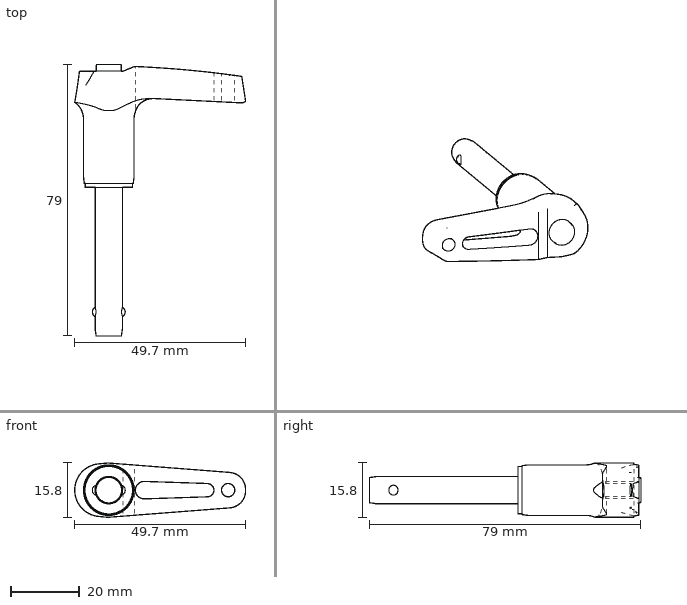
import cadquery as cq
import math


PIN_RADIUS = 4.0
PIN_LENGTH = 43.2
TIP_TAPER_LENGTH = 2.0
TIP_RADIUS = 3.7

BALL_RADIUS = 1.5
BALL_REACH = 4.8
BALL_Y = -36.2

COLLAR_RADIUS = 6.9
COLLAR_LENGTH = 1.2
SLEEVE_RADIUS = 7.38
SLEEVE_END_RADIUS = 7.15
SLEEVE_TAPER_END_Y = 2.9
FLARE_START_Y = 19.9
FLARE_RADIUS = 5.9

BUTTON_RADIUS = 3.7
BUTTON_TOP_Y = 35.8
BUTTON_EDGE_FILLET = 0.5

HUB_BACK_X = -9.93
HUB_ARC_END_X = -3.1
HUB_ARC_END_HALF_WIDTH = 7.66
CREST_START_X = -0.9
CREST_END_X = 0.6
CREST_EDGE_HALF_WIDTH = 7.87
MAX_HALF_WIDTH = 7.91
ARM_TIP_START_X = 35.04
ARM_TIP_HALF_WIDTH = 5.2

HUB_TOP_Y = 33.8
RISE_START_X = 4.1
ARM_PEAK_X = 7.5
ARM_PEAK_Y = 35.2
ARM_TIP_TOP_Y = 32.3
ARM_TOP_BULGE = 0.4
TOP_EDGE_FILLET = 0.3
ARM_TIP_BOTTOM_Y = 24.55
TIP_ROUND_START_X = 38.5
TIP_ROUND_RADIUS = 2.0

TOP_FACE_MIN_NORMAL_Y = 0.5

TIP_TOP_X = 38.7
TIP_BOTTOM_X = 39.9
HUB_BACK_TOP_RADIUS = 8.56
HUB_BACK_BOTTOM_Y = 24.7

SLOT_WIDE_X = 10.25
SLOT_WIDE_RADIUS = 2.5
SLOT_NARROW_X = 28.65
SLOT_NARROW_RADIUS = 1.9
EYE_X = 34.7
EYE_RADIUS = 1.9

FLARE_OUTER_RADIUS = SLEEVE_RADIUS + FLARE_RADIUS
FLARE_TOP_Y = FLARE_START_Y + FLARE_RADIUS
TIP_SLOPE = (TIP_TOP_X - TIP_BOTTOM_X) / (ARM_TIP_TOP_Y - ARM_TIP_BOTTOM_Y)
BACK_SLOPE = (HUB_BACK_TOP_RADIUS + HUB_BACK_X) / (HUB_TOP_Y - HUB_BACK_BOTTOM_Y)
PRISM_BOTTOM_Y = FLARE_START_Y
PRISM_TOP_Y = BUTTON_TOP_Y
PRISM_HEIGHT = PRISM_TOP_Y - PRISM_BOTTOM_Y

CLEARANCE = 1.0


def tip_x(y):
    """X of the slanted arm end at height y."""
    return TIP_BOTTOM_X + TIP_SLOPE * (y - ARM_TIP_BOTTOM_Y)


def back_radius(y):
    """Radius of the cone that slants the back of the hub at height y."""
    return -HUB_BACK_X + BACK_SLOPE * (y - HUB_BACK_BOTTOM_Y)


def plan_outline(y):
    """Closed plan outline of the handle at height y."""
    crest_x = (CREST_START_X + CREST_END_X) / 2
    return (
        cq.Workplane("XZ", origin=(0, y, 0))
        .moveTo(HUB_ARC_END_X, -HUB_ARC_END_HALF_WIDTH)
        .threePointArc((HUB_BACK_X, 0), (HUB_ARC_END_X, HUB_ARC_END_HALF_WIDTH))
        .lineTo(CREST_START_X, CREST_EDGE_HALF_WIDTH)
        .threePointArc((crest_x, MAX_HALF_WIDTH), (CREST_END_X, CREST_EDGE_HALF_WIDTH))
        .lineTo(ARM_TIP_START_X, ARM_TIP_HALF_WIDTH)
        .threePointArc((tip_x(y), 0), (ARM_TIP_START_X, -ARM_TIP_HALF_WIDTH))
        .lineTo(CREST_END_X, -CREST_EDGE_HALF_WIDTH)
        .threePointArc((crest_x, -MAX_HALF_WIDTH), (CREST_START_X, -CREST_EDGE_HALF_WIDTH))
        .close()
        .val()
    )


def handle_prism():
    """Plan outline swept along Y, with the arm end leaning back towards the top."""
    outlines = [plan_outline(PRISM_BOTTOM_Y), plan_outline(PRISM_TOP_Y)]
    return cq.Workplane(cq.Solid.makeLoft(outlines, True))


def handle_side_profile():
    """Side shape of hub and arm, reaching past the handle in Z and beyond both of its ends."""
    arm_top_mid = (
        (ARM_PEAK_X + TIP_TOP_X) / 2,
        (ARM_PEAK_Y + ARM_TIP_TOP_Y) / 2 + ARM_TOP_BULGE,
    )
    round_end_x = TIP_ROUND_START_X + TIP_ROUND_RADIUS
    round_mid = (
        TIP_ROUND_START_X + TIP_ROUND_RADIUS * math.sin(math.pi / 4),
        ARM_TIP_BOTTOM_Y + TIP_ROUND_RADIUS * (1 - math.cos(math.pi / 4)),
    )
    return (
        cq.Workplane("XY")
        .moveTo(HUB_BACK_X - CLEARANCE, FLARE_TOP_Y)
        .lineTo(HUB_BACK_X - CLEARANCE, HUB_TOP_Y)
        .lineTo(RISE_START_X, HUB_TOP_Y)
        .lineTo(ARM_PEAK_X, ARM_PEAK_Y)
        .threePointArc(arm_top_mid, (TIP_TOP_X, ARM_TIP_TOP_Y))
        .lineTo(round_end_x, ARM_TIP_TOP_Y)
        .lineTo(round_end_x, ARM_TIP_BOTTOM_Y + TIP_ROUND_RADIUS)
        .threePointArc(round_mid, (TIP_ROUND_START_X, ARM_TIP_BOTTOM_Y))
        .lineTo(FLARE_OUTER_RADIUS, FLARE_TOP_Y)
        .close()
        .extrude(MAX_HALF_WIDTH + CLEARANCE, both=True)
    )


def flare():
    """Solid of revolution widening concavely from the sleeve to the underside of the arm."""
    mid_x = FLARE_OUTER_RADIUS - FLARE_RADIUS * math.cos(math.pi / 4)
    mid_y = FLARE_START_Y + FLARE_RADIUS * math.sin(math.pi / 4)
    return (
        cq.Workplane("XY")
        .moveTo(0, FLARE_START_Y)
        .lineTo(SLEEVE_RADIUS, FLARE_START_Y)
        .threePointArc((mid_x, mid_y), (FLARE_OUTER_RADIUS, FLARE_TOP_Y))
        .lineTo(0, FLARE_TOP_Y)
        .close()
        .revolve(360, (0, 0, 0), (0, 1, 0))
    )


def hub_back_cone():
    """Cone limiting the back of the hub, opened up ahead of the axis for the arm."""
    cone = (
        cq.Workplane("XY")
        .moveTo(0, PRISM_BOTTOM_Y)
        .lineTo(back_radius(PRISM_BOTTOM_Y), PRISM_BOTTOM_Y)
        .lineTo(back_radius(PRISM_TOP_Y), PRISM_TOP_Y)
        .lineTo(0, PRISM_TOP_Y)
        .close()
        .revolve(360, (0, 0, 0), (0, 1, 0))
    )
    arm_length = tip_x(PRISM_BOTTOM_Y) + CLEARANCE
    arm_width = 2 * (MAX_HALF_WIDTH + CLEARANCE)
    arm_space = (
        cq.Workplane("XY", origin=(0, PRISM_BOTTOM_Y, 0))
        .box(arm_length, PRISM_HEIGHT, arm_width, centered=(False, False, True))
    )
    return cone.union(arm_space)


def arm_cutouts():
    """Tapered slot and round eye passing through the arm along Y."""
    run = SLOT_NARROW_X - SLOT_WIDE_X
    lean = (SLOT_WIDE_RADIUS - SLOT_NARROW_RADIUS) / run
    rise = math.sqrt(1 - lean**2)
    wide_x = SLOT_WIDE_X + SLOT_WIDE_RADIUS * lean
    wide_z = SLOT_WIDE_RADIUS * rise
    narrow_x = SLOT_NARROW_X + SLOT_NARROW_RADIUS * lean
    narrow_z = SLOT_NARROW_RADIUS * rise
    slot = (
        cq.Workplane("XZ")
        .moveTo(wide_x, -wide_z)
        .threePointArc((SLOT_WIDE_X - SLOT_WIDE_RADIUS, 0), (wide_x, wide_z))
        .lineTo(narrow_x, narrow_z)
        .threePointArc((SLOT_NARROW_X + SLOT_NARROW_RADIUS, 0), (narrow_x, -narrow_z))
        .close()
        .extrude(-PRISM_TOP_Y)
    )
    eye = cq.Workplane("XZ").center(EYE_X, 0).circle(EYE_RADIUS).extrude(-PRISM_TOP_Y)
    return slot.union(eye)


def top_rim(body):
    """Edges where the upward faces of the handle meet its side walls."""
    rim = []
    wall_edges = [
        edge
        for face in body.faces().vals()
        if abs(face.normalAt().y) < TOP_FACE_MIN_NORMAL_Y
        for edge in face.Edges()
    ]
    for face in body.faces().vals():
        if face.normalAt().y >= TOP_FACE_MIN_NORMAL_Y:
            rim += [edge for edge in face.Edges() if any(edge.isSame(other) for other in wall_edges)]
    return rim


def handle():
    """L-shaped handle: hub, flare and slotted arm."""
    blank = handle_prism().intersect(hub_back_cone())
    arm = blank.intersect(handle_side_profile())
    neck = blank.intersect(flare())
    arm = arm.newObject(top_rim(arm)).fillet(TOP_EDGE_FILLET)
    return arm.union(neck).cut(arm_cutouts())


def turned_parts():
    """Pin, collar, sleeve and push button, revolved about the pin axis."""
    return (
        cq.Workplane("XY")
        .moveTo(0, -PIN_LENGTH)
        .lineTo(TIP_RADIUS, -PIN_LENGTH)
        .lineTo(PIN_RADIUS, TIP_TAPER_LENGTH - PIN_LENGTH)
        .lineTo(PIN_RADIUS, 0)
        .lineTo(COLLAR_RADIUS, 0)
        .lineTo(COLLAR_RADIUS, COLLAR_LENGTH)
        .lineTo(SLEEVE_END_RADIUS, COLLAR_LENGTH)
        .lineTo(SLEEVE_RADIUS, SLEEVE_TAPER_END_Y)
        .lineTo(SLEEVE_RADIUS, FLARE_START_Y)
        .lineTo(BUTTON_RADIUS, FLARE_START_Y)
        .lineTo(BUTTON_RADIUS, BUTTON_TOP_Y)
        .lineTo(0, BUTTON_TOP_Y)
        .close()
        .revolve(360, (0, 0, 0), (0, 1, 0))
        .faces(">Y")
        .edges()
        .fillet(BUTTON_EDGE_FILLET)
    )


def locking_balls():
    """Two balls standing out of the pin on opposite sides."""
    offset = BALL_REACH - BALL_RADIUS
    return (
        cq.Workplane("XY")
        .pushPoints([(-offset, BALL_Y), (offset, BALL_Y)])
        .sphere(BALL_RADIUS)
    )


result = handle().union(turned_parts()).union(locking_balls())